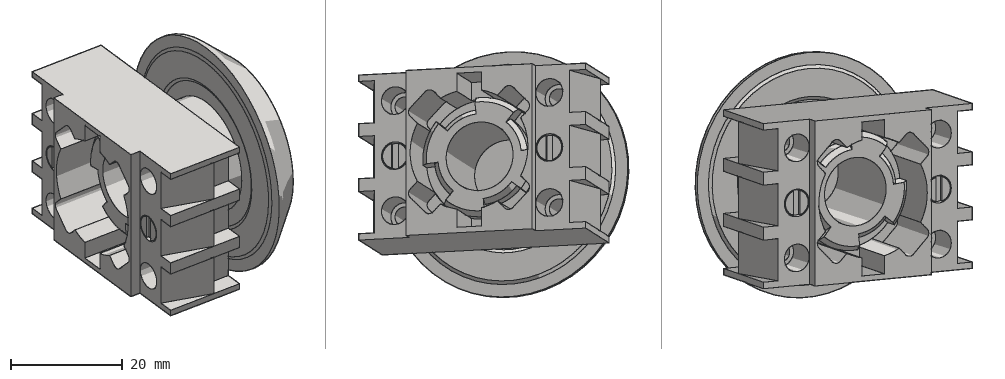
import cadquery as cq
import math


block_width = 42.2
block_height = 30.0
block_depth = 17.2
raised_width = 23.5
raised_height = 2.0

terminal_pitch = 10.0
terminal_height = 7.65
terminal_front_depth = 2.95
terminal_back_depth = 3.4
terminal_back_length = 5.6

hole_radius = 10.95
key_depth = 9.5
key_width = 4.55
key_reach = 14.0
corner_slot_depth = 12.0
corner_slot_width = 6.1
corner_slot_reach = 13.5
corner_slot_fillet = 1.1

screw_offset = 14.35
counterbore_radius = 2.5
counterbore_depth = 6.0
shank_radius = 1.72

screw_head_radius = 2.3
screw_slot_width = 1.25
screw_slot_depth = 0.55

stem_radius = 10.83
stem_bore_radius = 6.22
stem_front = 6.8
rim_chamfer = 0.92
notch_count = 4
notch_start = 5.0
notch_span = 45.5
notch_depth = 3.4
notch_inner_radius = 8.66

cap_back = 25.12
cap_radius = 22.25
cap_rim_length = 0.66
cap_rim_round_inset = 0.15
cap_rim_round_length = 0.44
cap_top_radius = 16.7
cap_top_edge = 32.25
cap_top = 32.4

gasket_outer_radius = 20.0
gasket_inner_radius = 13.7
gasket_thickness = 0.3
gasket_bevel = 0.6


def revolve_about_y(outline):
    """Revolve a closed outline drawn with (Y, radius) points around the Y axis."""
    return outline.close().revolve(360, (0, 0), (1, 0))


def rod(radius, start, end, x=0, z=0):
    """Solid cylinder along Y between two Y positions."""
    plane = cq.Workplane("XZ", origin=(x, start, z))
    return plane.circle(radius).extrude(start - end)


def box(width, depth, height, x, y, z):
    """Box centred on x and z that starts at y and runs towards +Y."""
    return cq.Workplane("XY").box(width, depth, height, centered=(True, False, True)).translate((x, y, z))


def terminal_pocket(z):
    """Pocket in the -X side whose wall slopes outward to an edge and then steps back in."""
    side = -block_width / 2
    outside = side - terminal_front_depth
    step = block_depth - terminal_back_length
    outline = [
        (side, raised_height),
        (side + terminal_front_depth, raised_height),
        (side, step),
        (side + terminal_back_depth, step),
        (side + terminal_back_depth, block_depth),
        (outside, block_depth),
        (outside, raised_height),
    ]
    plane = cq.Workplane("XY", origin=(0, 0, z - terminal_height / 2))
    return plane.polyline(outline).close().extrude(terminal_height)


def key_slot():
    """Square slot across the hole, reaching above and below it."""
    return box(key_width, key_depth, 2 * key_reach, 0, 0, 0)


def corner_slot(angle):
    """Rounded slot through the hole, with an end on each side of it."""
    slot = box(corner_slot_width, corner_slot_depth, 2 * corner_slot_reach, 0, 0, 0)
    slot = slot.edges("|Y").fillet(corner_slot_fillet)
    return slot.rotate((0, 0, 0), (0, 1, 0), angle)


def make_block():
    block = box(block_width, block_depth - raised_height, block_height, 0, raised_height, 0)
    block = block.union(box(raised_width, raised_height, block_height, 0, 0, 0))
    block = block.cut(rod(hole_radius, 0, block_depth))
    block = block.cut(key_slot())
    for angle in (-45, 45):
        block = block.cut(corner_slot(angle))
    for row in (-1, 0, 1):
        z = row * terminal_pitch
        pocket = terminal_pocket(z)
        block = block.cut(pocket).cut(pocket.mirror("YZ"))
        for x in (-screw_offset, screw_offset):
            block = block.cut(rod(counterbore_radius, raised_height, raised_height + counterbore_depth, x, z))
            block = block.cut(rod(shank_radius, raised_height, block_depth, x, z))
    return block


def make_screw(x):
    """Slotted screw: its head stands on the counterbore floor, flush with the block face."""
    seat = raised_height + counterbore_depth
    screw = rod(screw_head_radius, raised_height, seat, x)
    screw = screw.union(rod(shank_radius, seat, block_depth, x))
    slot = box(screw_slot_width, screw_slot_depth, 2 * counterbore_radius, x, raised_height, 0)
    return screw.cut(slot)


def notch_cutter(angle):
    """Ring sector that lowers the stem rim and leaves a bevelled inner wall."""
    start = math.radians(angle)
    end = math.radians(angle + notch_span)
    reach = 2 * stem_radius
    wedge = (
        cq.Workplane("XZ", origin=(0, stem_front, 0))
        .moveTo(0, 0)
        .lineTo(reach * math.cos(start), reach * math.sin(start))
        .lineTo(reach * math.cos(end), reach * math.sin(end))
        .close()
        .extrude(-notch_depth)
    )
    floor = stem_front + notch_depth
    ring = revolve_about_y(
        cq.Workplane("YZ")
        .moveTo(stem_front, notch_inner_radius - rim_chamfer)
        .lineTo(stem_front + rim_chamfer, notch_inner_radius)
        .lineTo(floor, notch_inner_radius)
        .lineTo(floor, reach)
        .lineTo(stem_front, reach)
    )
    return wedge.intersect(ring)


def make_stem():
    stem = revolve_about_y(
        cq.Workplane("YZ")
        .moveTo(stem_front, stem_bore_radius)
        .lineTo(stem_front, stem_radius - rim_chamfer)
        .lineTo(stem_front + rim_chamfer, stem_radius)
        .lineTo(cap_back, stem_radius)
        .lineTo(cap_back, stem_bore_radius)
    )
    for index in range(notch_count):
        stem = stem.cut(notch_cutter(notch_start + index * 360 / notch_count))
    return stem


def make_cap():
    """Conical cap with a rounded rim and a slightly domed top."""
    rim_edge = cap_back + cap_rim_length
    dome_rise = cap_top - cap_top_edge
    dome_radius = (cap_top_radius**2 + dome_rise**2) / (2 * dome_rise)
    half_radius = cap_top_radius / 2
    dome_middle = cap_top - dome_radius + math.sqrt(dome_radius**2 - half_radius**2)
    return revolve_about_y(
        cq.Workplane("YZ")
        .moveTo(cap_back, 0)
        .lineTo(cap_back, cap_radius)
        .lineTo(rim_edge, cap_radius)
        .tangentArcPoint((rim_edge + cap_rim_round_length, cap_radius - cap_rim_round_inset), relative=False)
        .lineTo(cap_top_edge, cap_top_radius)
        .threePointArc((dome_middle, half_radius), (cap_top, 0))
    )


def make_gasket():
    """Flat ring on the cap's underside, bevelled on both edges."""
    front = cap_back - gasket_thickness
    return revolve_about_y(
        cq.Workplane("YZ")
        .moveTo(cap_back, gasket_inner_radius)
        .lineTo(front, gasket_inner_radius + gasket_bevel)
        .lineTo(front, gasket_outer_radius - gasket_bevel)
        .lineTo(cap_back, gasket_outer_radius)
    )


block = make_block()
screws = [make_screw(x) for x in (-screw_offset, screw_offset)]
stem = make_stem()
cap = make_cap()
gasket = make_gasket()

result = cq.Compound.makeCompound(
    [block.val(), *[screw.val() for screw in screws], stem.val(), cap.val(), gasket.val()]
)